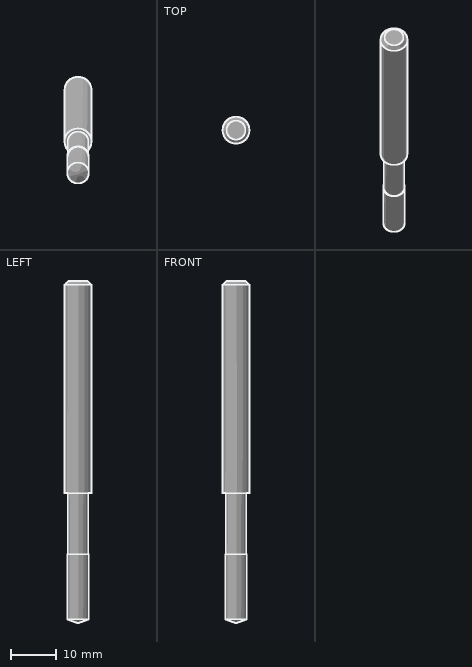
import cadquery as cq
import math

shank_diameter = 6.0
cutting_diameter = 4.8
neck_diameter = 4.58
point_angle = 140.0
cutting_length = 14.4
neck_length = 13.6
shank_length = 47.0
shank_chamfer = 0.9

shank_radius = shank_diameter / 2
cutting_radius = cutting_diameter / 2
neck_radius = neck_diameter / 2
point_length = cutting_radius / math.tan(math.radians(point_angle / 2))
cutting_top = point_length + cutting_length
shoulder_height = cutting_top + neck_length
tool_top = shoulder_height + shank_length


def turned(profile):
    """Revolve a closed (radius, height) outline, drawn on the -Y side, about the Z axis."""
    points = [(-radius, height) for radius, height in profile]
    return cq.Workplane("YZ").polyline(points).close().revolve(360, (0, 0), (0, 1))


def make_cutting_head():
    """Cylindrical cutting head with a conical point."""
    return turned([
        (0, 0),
        (cutting_radius, point_length),
        (cutting_radius, cutting_top),
        (0, cutting_top),
    ])


def make_shank():
    """Neck standing on the cutting head, and the thicker shank with a chamfered end."""
    return turned([
        (0, cutting_top),
        (neck_radius, cutting_top),
        (neck_radius, shoulder_height),
        (shank_radius, shoulder_height),
        (shank_radius, tool_top - shank_chamfer),
        (shank_radius - shank_chamfer, tool_top),
        (0, tool_top),
    ])


cutting_head = make_cutting_head()
shank = make_shank()

result = cq.Compound.makeCompound([cutting_head.val(), shank.val()])